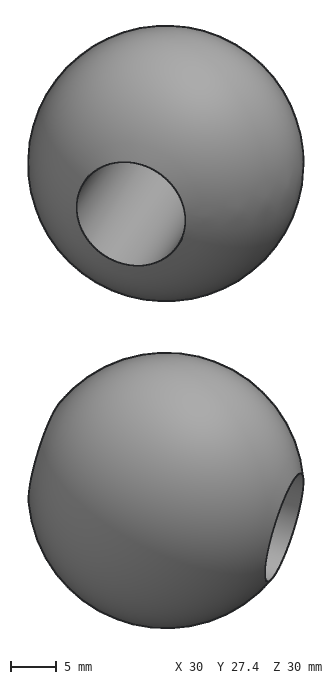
import math

import cadquery as cq

ball_radius = 30.0 / 2
bore_radius = 12.3 / 2

rim_offset = math.sqrt(ball_radius**2 - bore_radius**2)

half_section = (
    cq.Workplane("XY")
    .moveTo(bore_radius, -rim_offset)
    .threePointArc((ball_radius, 0), (bore_radius, rim_offset))
    .close()
)

result = half_section.revolve(360, (0, 0, 0), (0, 1, 0))